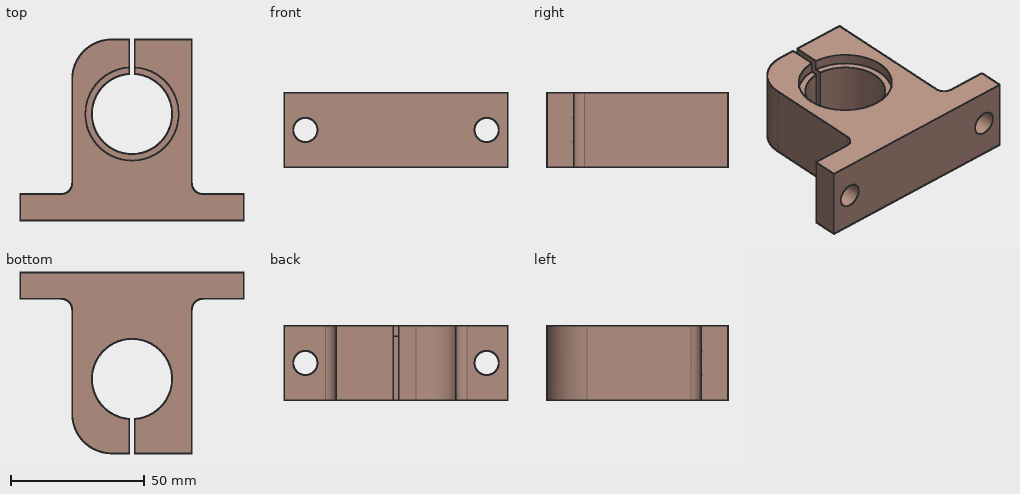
import cadquery as cq

foot_length = 84.0
foot_thickness = 10.0
bolt_hole_diameter = 9.0
bolt_hole_spacing = 68.0

height = 28.0
total_depth = 68.0
body_width = 45.0
inner_corner_radius = 4.0
outer_corner_radius = 15.0

bore_diameter = 30.0
bore_center_y = 40.0
counterbore_diameter = 35.0
counterbore_depth = 4.0
slot_width = 2.0


def make_blank():
    """Foot and clamp body joined, with both inner corners and the -X outer corner rounded."""
    foot = cq.Workplane("XY").box(
        foot_length, foot_thickness, height, centered=(True, False, False)
    )
    body = cq.Workplane("XY").box(
        body_width, total_depth, height, centered=(True, False, False)
    )
    half_width = body_width / 2
    mid_height = height / 2
    blank = foot.union(body)
    for side in (-1, 1):
        inner_corner = (side * half_width, foot_thickness, mid_height)
        blank = blank.edges(cq.selectors.NearestToPointSelector(inner_corner)).fillet(inner_corner_radius)
    outer_corner = (-half_width, total_depth, mid_height)
    return blank.edges(cq.selectors.NearestToPointSelector(outer_corner)).fillet(outer_corner_radius)


def cut_shaft_bore(part):
    """Through bore with a counterbore in the top face."""
    return (
        part.faces(">Z")
        .workplane(origin=(0, bore_center_y, height))
        .cboreHole(bore_diameter, counterbore_diameter, counterbore_depth)
    )


def cut_clamp_slot(part):
    """Full-height slot from the bore out through the +Y face."""
    slot = (
        cq.Workplane("XY")
        .box(slot_width, total_depth - bore_center_y, height, centered=(True, False, False))
        .translate((0, bore_center_y, 0))
    )
    return part.cut(slot)


def cut_bolt_holes(part):
    """Two holes through the thickness of the foot at mid height."""
    half_spacing = bolt_hole_spacing / 2
    drills = (
        cq.Workplane("XZ", origin=(0, 0, height / 2))
        .pushPoints([(-half_spacing, 0), (half_spacing, 0)])
        .circle(bolt_hole_diameter / 2)
        .extrude(-foot_thickness)
    )
    return part.cut(drills)


result = make_blank()
result = cut_shaft_bore(result)
result = cut_clamp_slot(result)
result = cut_bolt_holes(result)